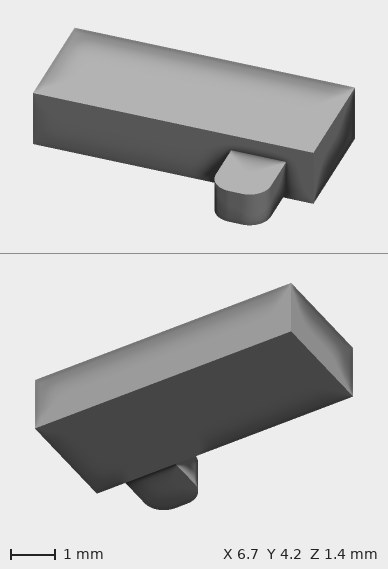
import cadquery as cq

housing_length = 6.7
housing_depth = 2.7
housing_height = 1.4

total_depth = 4.2
actuator_reach = total_depth - housing_depth
actuator_width = 1.31
actuator_height = 0.845
actuator_left = 4.74
actuator_bottom = 0.15
tip_radius = 0.5


def make_housing():
    return cq.Workplane("XY").box(housing_length, housing_depth, housing_height, centered=False)


def make_actuator():
    """Tongue that butts against the front face, its two outer upright edges rounded."""
    return (
        cq.Workplane("XY")
        .box(actuator_width, actuator_reach, actuator_height, centered=False)
        .edges("|Z and <Y")
        .fillet(tip_radius)
        .translate((actuator_left, -actuator_reach, actuator_bottom))
    )


housing = make_housing()
actuator = make_actuator()

result = cq.Compound.makeCompound([housing.val(), actuator.val()])